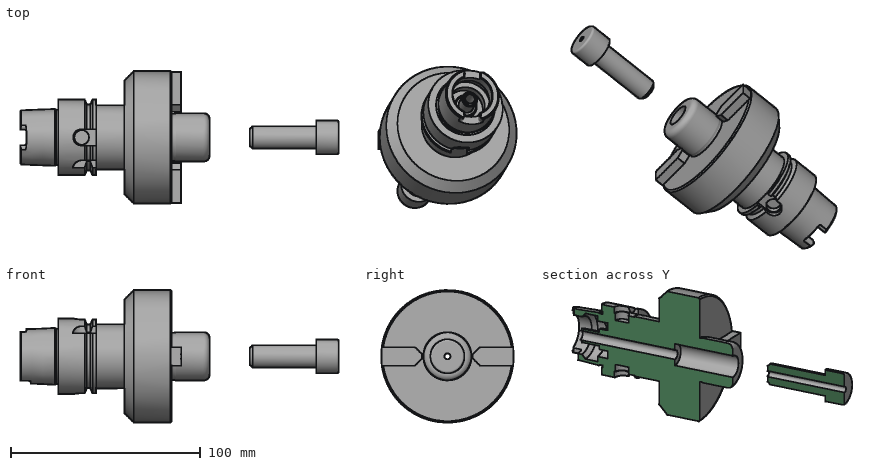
import cadquery as cq
import math


mouth_radius = 28.7 / 2
taper_base_radius = 30.0 / 2
taper_length = 17.6
mouth_chamfer = 0.7

taper_land_end = 18.3
relief_start = 19.0
relief_radius = 14.6
face_recess_radius = 15.8
face_recess_depth = 0.5

flange_radius = 20.0
flange_start = 20.0
groove_start = 34.0
groove_end = 38.1
groove_wall_run = 1.2
groove_floor_radius = 17.5
flange_end = 40.0

neck_radius = 17.0
head_radius = 70.0 / 2
head_start = 55.0
head_back_chamfer = 5.0
head_end = 80.0
head_front_chamfer = 0.8

spigot_radius = 12.8
undercut_radius = 25.0 / 2
undercut_end = 81.0
undercut_ramp_end = 82.2
spigot_end = 100.0
spigot_nose_round = 3.2

bore_radius = 21.0 / 2
bore_chamfer = 0.42
bore_length = 8.0
clamp_groove_radius = 12.8
clamp_groove_ramp = clamp_groove_radius - bore_radius
clamp_groove_end = 17.6
cavity_base_radius = 9.9
cavity_end = 23.5

tube_radius = 4.0
tube_tip = 7.0
tube_end_chamfer = 0.25
tube_bore_radius = 2.5
tube_lip_radius = 6.5 / 2
tube_lip_length = 0.75
tube_nut_radius = 12.0 / 2
tube_nut_chamfer = 0.59
tube_nut_start = 18.5

drive_slot_half_width = 4.0
drive_slot_depth_top = 3.2
drive_slot_depth_bottom = 5.5
drive_slot_corner_radius = 0.75
drive_slot_edge_round = 1.7

gripper_slot_centre = 32.3
gripper_slot_half_width = 8.5 / 2
gripper_slot_floor = 16.6
pocket_centre = 32.5
pocket_radius = 3.9
pocket_floor = 12.6

notch_floor = 12.1
notch_end_radius = 5.0
notch_centre = 32.6

key_width = 9.7
key_height = 4.9
key_outer = 34.6
key_inner = 13.5
key_inner_chamfer = 3.7

screw_radius = 12.0 / 2
screw_length = 35.1
screw_tip_chamfer_length = 1.7
screw_tip_chamfer_drop = 1.5
screw_head_radius = 18.0 / 2
screw_head_length = 12.0
screw_head_round = 1.2
screw_bore_radius = 1.5
screw_end = 168.0


def turned(points):
    """Revolve a closed (X, radius) outline about the X axis."""
    return cq.Workplane("XY").polyline(points).close().revolve(360, (0, 0, 0), (1, 0, 0))


def toolholder_blank():
    return (
        cq.Workplane("XY")
        .moveTo(0, 0)
        .lineTo(0, mouth_radius - mouth_chamfer)
        .lineTo(mouth_chamfer, mouth_radius)
        .lineTo(taper_length, taper_base_radius)
        .lineTo(taper_land_end, taper_base_radius)
        .lineTo(relief_start, relief_radius)
        .lineTo(flange_start + face_recess_depth, relief_radius)
        .lineTo(flange_start + face_recess_depth, face_recess_radius)
        .lineTo(flange_start, face_recess_radius)
        .lineTo(flange_start, flange_radius)
        .lineTo(groove_start, flange_radius)
        .lineTo(groove_start + groove_wall_run, groove_floor_radius)
        .lineTo(groove_end - groove_wall_run, groove_floor_radius)
        .lineTo(groove_end, flange_radius)
        .lineTo(flange_end, flange_radius)
        .lineTo(flange_end, neck_radius)
        .lineTo(head_start, neck_radius)
        .lineTo(head_start, head_radius - head_back_chamfer)
        .lineTo(head_start + head_back_chamfer, head_radius)
        .lineTo(head_end - head_front_chamfer, head_radius)
        .lineTo(head_end, head_radius - head_front_chamfer)
        .lineTo(head_end, undercut_radius)
        .lineTo(undercut_end, undercut_radius)
        .lineTo(undercut_ramp_end, spigot_radius)
        .lineTo(spigot_end, spigot_radius)
        .lineTo(spigot_end, 0)
        .close()
        .revolve(360, (0, 0, 0), (1, 0, 0))
        .edges(">X")
        .fillet(spigot_nose_round)
    )


def clamping_cavity():
    return turned([
        (0, 0),
        (0, bore_radius + bore_chamfer),
        (bore_chamfer, bore_radius),
        (bore_length, bore_radius),
        (bore_length + clamp_groove_ramp, clamp_groove_radius),
        (clamp_groove_end, clamp_groove_radius),
        (clamp_groove_end, cavity_base_radius),
        (cavity_end, cavity_base_radius),
        (cavity_end, 0),
    ])


def coolant_tube():
    tube_shoulder = tube_tip + tube_lip_length
    return turned([
        (tube_tip, 0),
        (tube_tip, tube_bore_radius),
        (tube_shoulder, tube_lip_radius),
        (tube_shoulder, tube_radius - tube_end_chamfer),
        (tube_shoulder + tube_end_chamfer, tube_radius),
        (tube_nut_start, tube_radius),
        (tube_nut_start, tube_nut_radius - tube_nut_chamfer),
        (tube_nut_start + tube_nut_chamfer, tube_nut_radius),
        (cavity_end, tube_nut_radius),
        (cavity_end, 0),
    ])


def drive_slot(depth):
    """Slot cutter on the +Z side whose walls roll over tangentially onto the taper's outside."""
    round_y = drive_slot_half_width + drive_slot_edge_round
    round_z = math.sqrt((mouth_radius - drive_slot_edge_round) ** 2 - round_y**2)
    outward = math.atan2(round_y, round_z)
    halfway = (outward - math.pi / 2) / 2

    def on_round(angle, side):
        y = round_y + drive_slot_edge_round * math.sin(angle)
        return (side * y, round_z + drive_slot_edge_round * math.cos(angle))

    top = flange_radius
    slot = (
        cq.Workplane("YZ")
        .moveTo(-drive_slot_half_width, 0)
        .lineTo(-drive_slot_half_width, round_z)
        .threePointArc(on_round(halfway, -1), on_round(outward, -1))
        .lineTo(on_round(outward, -1)[0], top)
        .lineTo(on_round(outward, 1)[0], top)
        .lineTo(*on_round(outward, 1))
        .threePointArc(on_round(halfway, 1), (drive_slot_half_width, round_z))
        .lineTo(drive_slot_half_width, 0)
        .close()
        .extrude(depth)
        .edges("|Z and >X")
        .fillet(drive_slot_corner_radius)
    )
    mouth_half_width = drive_slot_half_width + mouth_chamfer
    mouth_flare = (
        cq.Workplane("XY")
        .moveTo(0, -mouth_half_width)
        .lineTo(mouth_chamfer, -drive_slot_half_width)
        .lineTo(mouth_chamfer, drive_slot_half_width)
        .lineTo(0, mouth_half_width)
        .close()
        .extrude(round_z)
    )
    return slot.union(mouth_flare)


def round_ended_slot(centre_x, centre_y, radius, floor):
    """Slot cutter above Z = floor with a round -X end, running out past the flange."""
    run = flange_end - centre_x
    round_end = cq.Workplane("XY", origin=(centre_x, centre_y, floor)).circle(radius)
    straight = cq.Workplane("XY", origin=(centre_x + run / 2, centre_y, floor)).rect(run, 2 * radius)
    return round_end.extrude(flange_radius).union(straight.extrude(flange_radius))


def gripper_slot():
    pocket = cq.Workplane("XY", origin=(pocket_centre, 0, pocket_floor)).circle(pocket_radius)
    slot = round_ended_slot(gripper_slot_centre, 0, gripper_slot_half_width, gripper_slot_floor)
    return slot.union(pocket.extrude(flange_radius))


def orientation_notch():
    return round_ended_slot(notch_centre, -notch_floor - notch_end_radius, notch_end_radius, notch_floor)


def drive_key():
    """Key on the +Y side with its inner end chamfered."""
    length = key_outer - key_inner
    return (
        cq.Workplane("YZ", origin=(head_end - head_front_chamfer, 0, 0))
        .center(key_inner + length / 2, 0)
        .rect(length, key_width)
        .extrude(head_front_chamfer + key_height)
        .edges("|X and <Y")
        .chamfer(key_inner_chamfer)
    )


def half_turn(body):
    """Copy of a body turned to the opposite side of the X axis."""
    return body.rotate((0, 0, 0), (1, 0, 0), 180)


def make_toolholder():
    body = toolholder_blank().cut(clamping_cavity())
    body = body.cut(drive_slot(drive_slot_depth_top))
    body = body.cut(half_turn(drive_slot(drive_slot_depth_bottom)))
    body = body.union(coolant_tube())
    body = body.cut(gripper_slot()).cut(half_turn(gripper_slot()))
    body = body.cut(orientation_notch())
    body = body.union(drive_key()).union(half_turn(drive_key()))
    coolant_bore = cq.Workplane("YZ").circle(tube_bore_radius).extrude(spigot_end)
    screw_hole = cq.Workplane("YZ", origin=(spigot_end, 0, 0)).circle(screw_radius).extrude(-screw_length)
    return body.cut(coolant_bore).cut(screw_hole)


def make_screw():
    head_seat = screw_end - screw_head_length
    tip = head_seat - screw_length
    screw = turned([
        (tip, screw_bore_radius),
        (tip, screw_radius - screw_tip_chamfer_drop),
        (tip + screw_tip_chamfer_length, screw_radius),
        (head_seat, screw_radius),
        (head_seat, screw_head_radius),
        (screw_end, screw_head_radius),
        (screw_end, screw_bore_radius),
    ])
    head_rim = screw.edges(cq.selectors.RadiusNthSelector(-1)).edges(">X")
    return head_rim.fillet(screw_head_round)


toolholder = make_toolholder()
screw = make_screw()
result = cq.Compound.makeCompound([toolholder.val(), screw.val()])